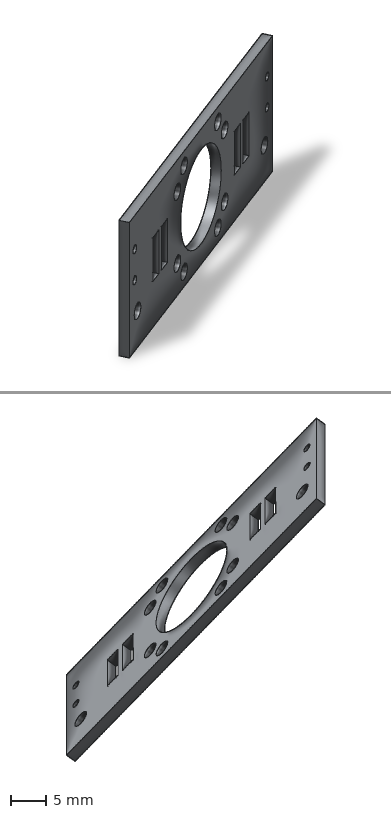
import cadquery as cq

thickness = 1.6
length = 54.85
height = 22.35

bore_diameter = 15.5
screw_diameter = 2.5
inner_screw_y, inner_screw_z = 6.5, 8.7
outer_screw_y, outer_screw_z = 9.05, 5.9

pin_diameter = 1.3
pin_y = 25.35
pin_heights = (5.6, 0.5)
end_screw_y, end_screw_z = 24.3, -5.15

slot_width = 2.3
slot_height = 7.2
slot_pair_y = 15.65
slot_spacing = 3.35


def mirrored(y, z):
    """The point and its mirror image across the XZ plane."""
    return [(y, z), (-y, z)]


def four_way(y, z):
    """The point mirrored across both centre lines of the plate."""
    return mirrored(y, z) + mirrored(y, -z)


screw_points = (
    four_way(inner_screw_y, inner_screw_z)
    + four_way(outer_screw_y, outer_screw_z)
    + mirrored(end_screw_y, end_screw_z)
)
pin_points = [point for z in pin_heights for point in mirrored(pin_y, z)]
slot_points = (
    mirrored(slot_pair_y - slot_spacing / 2, 0)
    + mirrored(slot_pair_y + slot_spacing / 2, 0)
)

profile = cq.Workplane("YZ", origin=(-thickness / 2, 0, 0))
plate = profile.rect(length, height).extrude(thickness)
bore = profile.circle(bore_diameter / 2).extrude(thickness)
screws = profile.pushPoints(screw_points).circle(screw_diameter / 2).extrude(thickness)
pins = profile.pushPoints(pin_points).circle(pin_diameter / 2).extrude(thickness)
slots = profile.pushPoints(slot_points).rect(slot_width, slot_height).extrude(thickness)

result = plate.cut(bore).cut(screws).cut(pins).cut(slots)